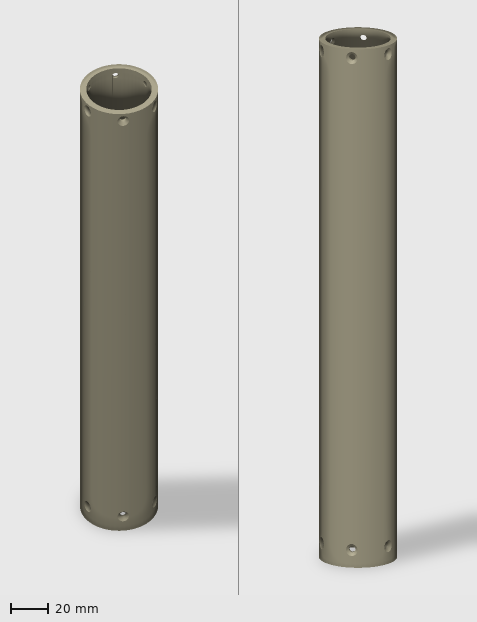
import cadquery as cq

length = 290.2
outer_diameter = 42.0
inner_diameter = 35.0
outer_radius = outer_diameter / 2

holes_per_ring = 6
first_hole_angle = 30.0
hole_pitch_angle = 360 / holes_per_ring
top_ring_inset = 5.0
bottom_ring_inset = 10.0
ring_heights = (bottom_ring_inset, length - top_ring_inset)

hole_radius = 3.5 / 2
head_radius = 6.7 / 2
countersink_depth = head_radius - hole_radius
cone_overrun = 1.5


def make_tube():
    """Plain round tube."""
    return cq.Workplane("XY").circle(outer_radius).circle(inner_diameter / 2).extrude(length)


def make_hole_cutter(angle, height):
    """Radial cutter: half section turned about the X axis, then swung to its angle around Z."""
    cone_start = outer_radius - countersink_depth
    cone_end = outer_radius + cone_overrun
    half_section = (
        cq.Workplane("XY")
        .lineTo(0, hole_radius)
        .lineTo(cone_start, hole_radius)
        .lineTo(cone_end, head_radius + cone_overrun)
        .lineTo(cone_end, 0)
        .close()
    )
    cutter = half_section.revolve(360, (0, 0, 0), (1, 0, 0))
    return cutter.rotate((0, 0, 0), (0, 0, 1), angle).translate((0, 0, height))


result = make_tube()
for ring_height in ring_heights:
    for index in range(holes_per_ring):
        hole_angle = first_hole_angle + index * hole_pitch_angle
        result = result.cut(make_hole_cutter(hole_angle, ring_height))